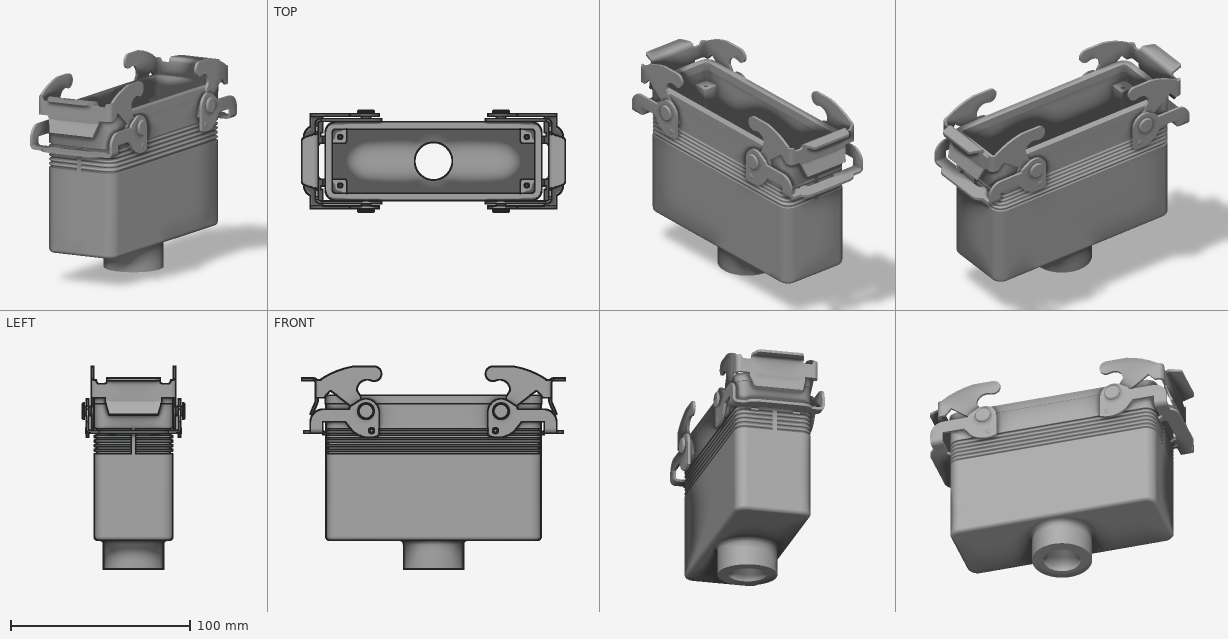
import cadquery as cq
import math


BODY_LENGTH = 120.0
BODY_WIDTH = 43.8
BODY_HEIGHT = 81.0
BODY_CORNER = 6.2
BASE_FILLET = 2.0
RIM_LENGTH = 120.8
RIM_WIDTH = 44.1
RIM_HEIGHT = 4.9
RIM_CAVITY_LENGTH = 112.9
RIM_CAVITY_WIDTH = 35.9
RIM_CAVITY_CORNER = 2.2
CAVITY_UNDERCUT = 0.7
CAVITY_LENGTH = RIM_CAVITY_LENGTH + 2 * CAVITY_UNDERCUT
CAVITY_WIDTH = RIM_CAVITY_WIDTH + 2 * CAVITY_UNDERCUT
CAVITY_CORNER = 2.8
FLOOR_THICKNESS = 4.0

RIB_COUNT = 5
RIB_HEIGHT = 1.26
RIB_PITCH = 2 * RIB_HEIGHT
RIB_DEPTH = 1.3
RIB_FILLET = 0.62
BAND_BOTTOM = 48.4
BAND_TOP = BAND_BOTTOM + RIB_COUNT * RIB_PITCH + RIB_HEIGHT
END_STRIP_WIDTH = 2.6

ENTRY_RADIUS = 16.8
ENTRY_LENGTH = 16.0
ENTRY_BORE_RADIUS = 10.5

POST_INNER_X = 48.5
POST_INNER_Y = 10.0
POST_TOP = 69.1
POST_EDGE_RADIUS = 1.2
SCREW_X = 52.0
SCREW_Y = 13.5
SCREW_RADIUS = 1.0
SCREW_CHAMFER = 0.3
SCREW_TIP = 0.6
SCREW_DEPTH = 14.7

SHEET = 1.5
PIVOT_X = -37.6
PIVOT_Z = 72.0
CLAMP_OUTER_Y = 23.7
BAIL_OUTER_Y = 26.5
PIN_RADIUS = 2.6
PIN_TIP_RADIUS = 1.8
HEAD_RADIUS = 4.5
HEAD_INNER_Y = 27.3
HEAD_OUTER_Y = 28.5
HEAD_CHAMFER = 0.6

BEND_RADIUS = 2.8
WEB_OUTER_X = -65.8
HOOK_START_X = -62.6
HOOK_START_Z = 90.0
WEB_BOTTOM = 79.4
WEB_SIDE_TOP = 89.5
NOTCH_FLOOR = 87.3
NOTCH_OUTER_Y = 19.8
NOTCH_INNER_Y = 16.3
NOTCH_TOP_Y = 21.2
HANDLE_ROOT_Y = 15.0
HANDLE_TIP_Y = 12.6
HANDLE_TOP = 90.5
HANDLE_BEND = 2.6
HANDLE_TIP_X = -73.5
HANDLE_TIP_FILLET = 1.8
FLAP_ROOT_Y = 15.9
FLAP_TIP_Y = 13.4
FLAP_BEND_Z = 77.5
FLAP_TIP_X = -68.8
FLAP_TIP_Z = 70.4
FLAP_BEND_RADIUS = 1.5

BAIL_END_X = -68.8
BAIL_INNER_X = -61.7
BAIL_BOTTOM = 59.7
ARM_BOTTOM_DZ = -6.0
GRIP_X = -72.5
GRIP_HALF_WIDTH = 13.5
GRIP_ROOT_Y = 19.3
GRIP_SHOULDER_X = -71.1
GRIP_SHOULDER_Y = 17.2
OPENING_X = -64.2
OPENING_FILLET = 1.8
TAB_INNER_Y = 10.0
TAB_OUTER_Y = 14.0
TAB_END_X = -60.3
TAB_BOTTOM = 58.8
RELIEF_OUTER_Y = 15.7
RELIEF_X = -62.8
DIMPLE_DX = 3.1
DIMPLE_DZ = -10.9
DIMPLE_RADIUS = 1.6
DIMPLE_TOP_RADIUS = 1.0
DIMPLE_HEIGHT = 0.3


def block(x0, x1, y0, y1, z0, z1):
    return cq.Workplane("XY").box(x1 - x0, y1 - y0, z1 - z0, centered=False).translate((x0, y0, z0))


def rounded_block(length, width, corner, z0, z1):
    slab = block(-length / 2, length / 2, -width / 2, width / 2, z0, z1)
    return slab.edges("|Z").fillet(corner)


def y_cylinder(radius, x, z, y0, y1):
    """Cylinder along Y between y0 and y1."""
    return cq.Workplane("XZ", origin=(x, y0, z)).circle(radius).extrude(-(y1 - y0))


def with_mirror(shape, plane):
    return shape.union(shape.mirror(plane))


def ribbed_band():
    """Recessed core with rounded ribs and one plain strip on each end face."""
    core_length = BODY_LENGTH - 2 * RIB_DEPTH
    core_width = BODY_WIDTH - 2 * RIB_DEPTH
    band = rounded_block(core_length, core_width, BODY_CORNER - RIB_DEPTH, BAND_BOTTOM, BAND_TOP)
    for index in range(RIB_COUNT):
        rib_z = BAND_BOTTOM + RIB_HEIGHT + index * RIB_PITCH
        rib = rounded_block(BODY_LENGTH, BODY_WIDTH, BODY_CORNER, rib_z, rib_z + RIB_HEIGHT)
        band = band.union(rib.faces("<Z or >Z").edges().fillet(RIB_FILLET))
    margin = RIB_DEPTH / 4
    root_x = core_length / 2 + margin
    root_y = core_width / 2 + margin
    rib_roots = cq.selectors.BoxSelector(
        (-root_x, -root_y, BAND_BOTTOM + margin), (root_x, root_y, BAND_TOP - margin), boundingbox=True
    )
    band = band.edges("#Z").edges(rib_roots).fillet(RIB_FILLET)
    half_strip = END_STRIP_WIDTH / 2
    strips = block(-BODY_LENGTH / 2, BODY_LENGTH / 2, -half_strip, half_strip, BAND_BOTTOM, BAND_TOP)
    return band.union(strips)


def housing_outside():
    lower = rounded_block(BODY_LENGTH, BODY_WIDTH, BODY_CORNER, 0, BAND_BOTTOM)
    lower = lower.faces("<Z").edges().fillet(BASE_FILLET)
    entry = cq.Workplane("XY").circle(ENTRY_RADIUS).extrude(-ENTRY_LENGTH)
    lower = lower.union(entry)
    entry_joint = cq.selectors.NearestToPointSelector((ENTRY_RADIUS, 0, 0))
    lower = lower.edges("%CIRCLE").edges(entry_joint).fillet(BASE_FILLET)
    rim_z = BODY_HEIGHT - RIM_HEIGHT
    upper = rounded_block(BODY_LENGTH, BODY_WIDTH, BODY_CORNER, BAND_TOP, rim_z)
    rim = rounded_block(RIM_LENGTH, RIM_WIDTH, BODY_CORNER, rim_z, BODY_HEIGHT)
    return lower.union(ribbed_band()).union(upper).union(rim)


def cavity():
    rim_z = BODY_HEIGHT - RIM_HEIGHT
    wide = rounded_block(RIM_CAVITY_LENGTH, RIM_CAVITY_WIDTH, RIM_CAVITY_CORNER, rim_z, BODY_HEIGHT)
    deep = rounded_block(
        CAVITY_LENGTH,
        CAVITY_WIDTH,
        CAVITY_CORNER,
        FLOOR_THICKNESS,
        rim_z,
    )
    return wide.union(deep)


def screw_post():
    """Post in the +X +Y corner, running into the walls and floor."""
    post = block(
        POST_INNER_X,
        CAVITY_LENGTH / 2,
        POST_INNER_Y,
        CAVITY_WIDTH / 2,
        FLOOR_THICKNESS,
        POST_TOP,
    )
    post = post.edges("|Z and <X and <Y").fillet(POST_EDGE_RADIUS)
    wide = SCREW_RADIUS + SCREW_CHAMFER
    hole = (
        cq.Workplane("XZ", origin=(SCREW_X, SCREW_Y, POST_TOP))
        .polyline(
            [
                (0, 0),
                (wide, 0),
                (SCREW_RADIUS, -SCREW_CHAMFER),
                (SCREW_RADIUS, -SCREW_DEPTH),
                (0, -SCREW_DEPTH - SCREW_TIP),
            ]
        )
        .close()
        .revolve(360, (0, 0, 0), (0, 1, 0))
    )
    return post.intersect(cavity()).cut(hole)


def make_housing():
    housing = housing_outside().cut(cavity())
    housing = housing.union(with_mirror(with_mirror(screw_post(), "XZ"), "YZ"))
    bore = cq.Workplane("XY", origin=(0, 0, -ENTRY_LENGTH)).circle(ENTRY_BORE_RADIUS)
    housing = housing.cut(bore.extrude(ENTRY_LENGTH + FLOOR_THICKNESS))
    for pivot_x in (PIVOT_X, -PIVOT_X):
        housing = housing.cut(y_cylinder(PIN_TIP_RADIUS, pivot_x, PIVOT_Z, -BODY_WIDTH / 2, BODY_WIDTH / 2))
    return housing


def pivot_pin():
    """Pin on the +Y side: tip in the housing wall, shank through both plates, outer head."""
    wall_inner_y = CAVITY_WIDTH / 2
    shank_y = CLAMP_OUTER_Y - SHEET
    tip = y_cylinder(PIN_TIP_RADIUS, PIVOT_X, PIVOT_Z, wall_inner_y, shank_y)
    shank = y_cylinder(PIN_RADIUS, PIVOT_X, PIVOT_Z, shank_y, HEAD_INNER_Y)
    head = y_cylinder(HEAD_RADIUS, PIVOT_X, PIVOT_Z, HEAD_INNER_Y, HEAD_OUTER_Y)
    head = head.faces(">Y").chamfer(HEAD_CHAMFER)
    return tip.union(shank).union(head)


def plate_sketch(outer_y):
    """Workplane on the outer face of a +Y side plate, with its origin on the pivot."""
    return cq.Workplane("XZ", origin=(PIVOT_X, outer_y, PIVOT_Z))


def hook_plate():
    """Side plate of the clamp on the +Y side, outlined from the pivot."""
    root_x = HOOK_START_X - PIVOT_X
    root_z = WEB_BOTTOM - PIVOT_Z
    outline = (
        plate_sketch(CLAMP_OUTER_Y)
        .moveTo(root_x, root_z)
        .lineTo(-23.5, root_z)
        .lineTo(-19.8, 11.5)
        .lineTo(-8.7, 2.8)
        .threePointArc((0.7, -10.1), (5.6, -6.3))
        .threePointArc((2.6, 1.2), (-2.8, 6.5))
        .lineTo(-3.1, 8.5)
        .lineTo(-5.0, 11.5)
        .threePointArc((-2.5, 16.5), (2.8, 17.0))
        .threePointArc((8.7, 20.7), (4.5, 25.0))
        .lineTo(-7.0, 25.0)
        .threePointArc((-17.2, 22.0), (root_x, HOOK_START_Z - PIVOT_Z))
        .close()
    )
    return outline.extrude(SHEET)


def clamp_web():
    """Vertical end wall bent round into the hook plates, notched along its top."""
    outer = block(WEB_OUTER_X, HOOK_START_X, -CLAMP_OUTER_Y, CLAMP_OUTER_Y, WEB_BOTTOM, WEB_SIDE_TOP)
    outer = outer.edges("|Z and <X").fillet(BEND_RADIUS)
    inner_y = CLAMP_OUTER_Y - SHEET
    inner = block(WEB_OUTER_X + SHEET, HOOK_START_X, -inner_y, inner_y, WEB_BOTTOM, WEB_SIDE_TOP)
    inner = inner.edges("|Z and <X").fillet(BEND_RADIUS - SHEET)
    bend_z = HANDLE_TOP - HANDLE_BEND
    right_edge = [
        (NOTCH_TOP_Y, WEB_SIDE_TOP),
        (NOTCH_OUTER_Y, NOTCH_FLOOR),
        (NOTCH_INNER_Y, NOTCH_FLOOR),
        (HANDLE_ROOT_Y, bend_z),
    ]
    left_edge = [(-y, z) for y, z in reversed(right_edge)]
    top_cut = cq.Workplane("YZ", origin=(WEB_OUTER_X, 0, 0)).polyline(right_edge + left_edge).close()
    return outer.cut(inner).cut(top_cut.extrude(SHEET))


def clamp_handle():
    """Flange bent outwards from the top of the web, narrowing to its tip."""
    bend_z = HANDLE_TOP - HANDLE_BEND
    bend_x = WEB_OUTER_X + SHEET - HANDLE_BEND
    inner_bend = HANDLE_BEND - SHEET
    diagonal = math.sqrt(0.5)
    flange = (
        cq.Workplane("XZ", origin=(0, HANDLE_ROOT_Y, 0))
        .moveTo(WEB_OUTER_X, bend_z)
        .lineTo(WEB_OUTER_X + SHEET, bend_z)
        .threePointArc(
            (bend_x + HANDLE_BEND * diagonal, bend_z + HANDLE_BEND * diagonal), (bend_x, HANDLE_TOP)
        )
        .lineTo(HANDLE_TIP_X, HANDLE_TOP)
        .lineTo(HANDLE_TIP_X, HANDLE_TOP - SHEET)
        .lineTo(bend_x, HANDLE_TOP - SHEET)
        .threePointArc(
            (bend_x + inner_bend * diagonal, bend_z + inner_bend * diagonal), (WEB_OUTER_X, bend_z)
        )
        .close()
        .extrude(2 * HANDLE_ROOT_Y)
    )
    web_x = WEB_OUTER_X + SHEET
    plan = cq.Workplane("XY", origin=(0, 0, bend_z)).polyline(
        [
            (web_x, HANDLE_ROOT_Y),
            (bend_x, HANDLE_ROOT_Y),
            (HANDLE_TIP_X, HANDLE_TIP_Y),
            (HANDLE_TIP_X, -HANDLE_TIP_Y),
            (bend_x, -HANDLE_ROOT_Y),
            (web_x, -HANDLE_ROOT_Y),
        ]
    )
    plan = plan.close().extrude(HANDLE_BEND).edges("|Z and <X").fillet(HANDLE_TIP_FILLET)
    return flange.intersect(plan)


def clamp_flap():
    """Tongue below the web, bent outwards and narrowing to its tip."""
    slope = math.atan2(WEB_OUTER_X - FLAP_TIP_X, FLAP_BEND_Z - FLAP_TIP_Z)
    inner_x = WEB_OUTER_X + SHEET
    inner_bend_z = FLAP_BEND_Z - SHEET * math.tan(slope / 2)
    profile = cq.Workplane("XZ", origin=(0, FLAP_ROOT_Y, 0)).polyline(
        [
            (WEB_OUTER_X, WEB_BOTTOM),
            (inner_x, WEB_BOTTOM),
            (inner_x, inner_bend_z),
            (FLAP_TIP_X + SHEET * math.cos(slope), FLAP_TIP_Z - SHEET * math.sin(slope)),
            (FLAP_TIP_X, FLAP_TIP_Z),
            (WEB_OUTER_X, FLAP_BEND_Z),
        ]
    )
    front = cq.Workplane("YZ", origin=(HANDLE_TIP_X, 0, 0)).polyline(
        [
            (-FLAP_ROOT_Y, WEB_BOTTOM),
            (FLAP_ROOT_Y, WEB_BOTTOM),
            (FLAP_ROOT_Y, FLAP_BEND_Z),
            (FLAP_TIP_Y, FLAP_TIP_Z - SHEET),
            (-FLAP_TIP_Y, FLAP_TIP_Z - SHEET),
            (-FLAP_ROOT_Y, FLAP_BEND_Z),
        ]
    )
    tongue = profile.close().extrude(2 * FLAP_ROOT_Y)
    for bend_x, bend_z, radius in (
        (WEB_OUTER_X, FLAP_BEND_Z, FLAP_BEND_RADIUS),
        (inner_x, inner_bend_z, FLAP_BEND_RADIUS + SHEET),
    ):
        tongue = tongue.edges(cq.selectors.NearestToPointSelector((bend_x, 0, bend_z))).fillet(radius)
    return tongue.intersect(front.close().extrude(HOOK_START_X - HANDLE_TIP_X))


def bail_plate():
    """Side plate of the bail on the +Y side, outlined from the pivot."""
    end_x = BAIL_END_X - PIVOT_X
    inner_x = BAIL_INNER_X - PIVOT_X
    bend_z = BAIL_BOTTOM + BEND_RADIUS - PIVOT_Z
    outline = (
        plate_sketch(BAIL_OUTER_Y)
        .moveTo(end_x, bend_z)
        .lineTo(inner_x, bend_z)
        .lineTo(inner_x, ARM_BOTTOM_DZ)
        .lineTo(-11.5, ARM_BOTTOM_DZ)
        .lineTo(-7.5, -11.2)
        .threePointArc((0, -14.5), (7.3, -13.5))
        .lineTo(7.3, -0.6)
        .threePointArc((1.2, 6.8), (-4.7, 5.3))
        .lineTo(-8.7, 2.8)
        .lineTo(-9.4, 1.2)
        .lineTo(-23.7, 1.2)
        .threePointArc((-29.0, -1.0), (end_x, -6.5))
        .close()
    )
    dimple = cq.Solid.makeCone(
        DIMPLE_RADIUS,
        DIMPLE_TOP_RADIUS,
        DIMPLE_HEIGHT,
        cq.Vector(PIVOT_X + DIMPLE_DX, BAIL_OUTER_Y, PIVOT_Z + DIMPLE_DZ),
        cq.Vector(0, 1, 0),
    )
    return outline.extrude(SHEET).union(cq.Workplane(dimple))


def bail_bar():
    """Flat bar joining the bail plates, bent up at its ends, with a bulged outer edge."""
    bar_top = BAIL_BOTTOM + SHEET
    leg_top = PIVOT_Z + ARM_BOTTOM_DZ
    outer = block(BAIL_END_X, BAIL_INNER_X, -BAIL_OUTER_Y, BAIL_OUTER_Y, BAIL_BOTTOM, leg_top)
    outer = outer.edges("|X and <Z").fillet(BEND_RADIUS)
    inner_y = BAIL_OUTER_Y - SHEET
    inner = block(BAIL_END_X, BAIL_INNER_X, -inner_y, inner_y, bar_top, leg_top)
    inner = inner.edges("|X and <Z").fillet(BEND_RADIUS - SHEET)
    grip = (
        cq.Workplane("XY", origin=(0, 0, BAIL_BOTTOM))
        .moveTo(BAIL_END_X, -GRIP_ROOT_Y)
        .threePointArc((GRIP_SHOULDER_X, -GRIP_SHOULDER_Y), (GRIP_X, -GRIP_HALF_WIDTH))
        .lineTo(GRIP_X, GRIP_HALF_WIDTH)
        .threePointArc((GRIP_SHOULDER_X, GRIP_SHOULDER_Y), (BAIL_END_X, GRIP_ROOT_Y))
        .close()
        .extrude(SHEET)
    )
    opening = block(OPENING_X, BAIL_INNER_X, -TAB_INNER_Y, TAB_INNER_Y, BAIL_BOTTOM, bar_top)
    opening = opening.edges("|Z and <X").fillet(OPENING_FILLET)
    relief = block(RELIEF_X, BAIL_INNER_X, TAB_OUTER_Y, RELIEF_OUTER_Y, BAIL_BOTTOM, bar_top)
    bar = outer.cut(inner).union(grip).cut(opening)
    return bar.cut(relief).cut(relief.mirror("XZ")).union(with_mirror(bail_tab(), "XZ"))


def bail_tab():
    """Bent-down stop on the +Y side, between the bar and the housing."""
    bar_top = BAIL_BOTTOM + SHEET
    profile = cq.Workplane("XZ", origin=(0, TAB_OUTER_Y, 0)).polyline(
        [
            (BAIL_INNER_X, bar_top),
            (TAB_END_X, TAB_BOTTOM + SHEET),
            (TAB_END_X, TAB_BOTTOM),
            (BAIL_INNER_X, TAB_BOTTOM),
        ]
    )
    return profile.close().extrude(TAB_OUTER_Y - TAB_INNER_Y)


def make_lever():
    """Clamp and bail held together by the two pivot pins."""
    side = hook_plate().union(bail_plate()).union(pivot_pin())
    clamp_end = clamp_web().union(clamp_handle()).union(clamp_flap())
    return clamp_end.union(bail_bar()).union(side).union(side.mirror("XZ"))


housing = make_housing()
left_lever = make_lever()
levers = [left_lever, left_lever.mirror("YZ")]

result = cq.Compound.makeCompound(
    [housing.solids().val(), *[lever.solids().val() for lever in levers]]
)